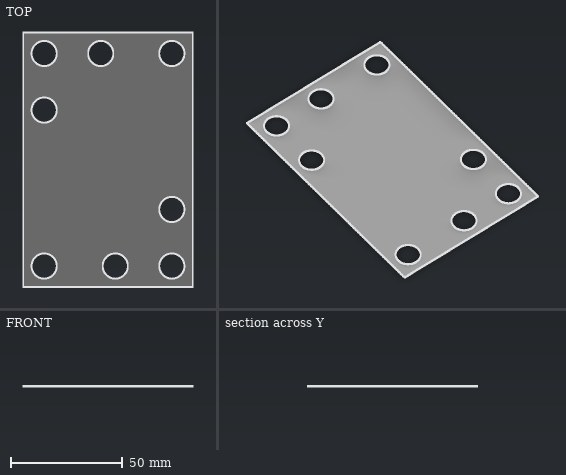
import cadquery as cq

width = 76.2
length = 114.3
thickness = 0.38

hole_diameter = 11.2
edge_distance = 9.5
hole_pitch = 25.4

corner_x = width / 2 - edge_distance
corner_y = length / 2 - edge_distance

half_pattern = [
    (-corner_x, corner_y),
    (corner_x, corner_y),
    (-corner_x + hole_pitch, corner_y),
    (-corner_x, corner_y - hole_pitch),
]
opposite_half = [(-x, -y) for x, y in half_pattern]

result = (
    cq.Workplane("XY")
    .rect(width, length)
    .extrude(thickness)
    .faces(">Z")
    .workplane(origin=(0, 0, thickness))
    .pushPoints(half_pattern + opposite_half)
    .hole(hole_diameter)
)